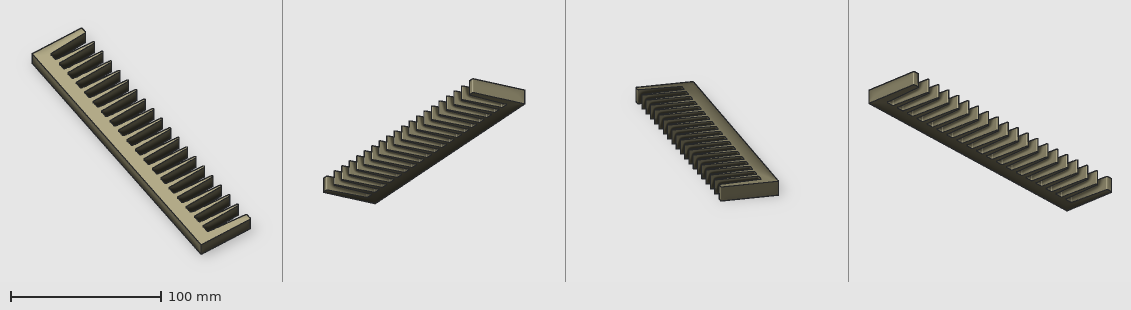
import cadquery as cq

length = 200.0
depth = 40.0
thickness = 10.0
base_depth = 10.0

fin_count = 18
fin_pitch = 10.0
fin_root_width = 4.0
fin_tip_width = 1.45
fin_tip_radius = 0.7

wall_root_width = 7.0
wall_tip_width = 5.0
wall_tip_radius = 0.8

slot_corner_radius = 0.8

back_y = -depth / 2
tip_y = depth / 2
slot_floor_y = back_y + base_depth


def extruded(outline):
    """Prism of the full thickness over a closed outline in the XY plane."""
    return cq.Workplane("XY").polyline(outline).close().extrude(thickness)


def base_bar():
    """Solid bar that carries the fins and end walls."""
    bar = cq.Workplane("XY").box(length, base_depth, thickness, centered=(True, False, False))
    return bar.translate((0, back_y, 0))


def fin(center_x):
    """Fin tapering from the slot floor to a rounded tip."""
    half_root = fin_root_width / 2
    half_tip = fin_tip_width / 2
    outline = [
        (center_x - half_root, slot_floor_y),
        (center_x + half_root, slot_floor_y),
        (center_x + half_tip, tip_y),
        (center_x - half_tip, tip_y),
    ]
    return extruded(outline).edges("|Z and >Y").fillet(fin_tip_radius)


def end_wall(side):
    """End wall on the left (side = -1) or right (side = 1)."""
    outer_x = side * length / 2
    outline = [
        (outer_x, slot_floor_y),
        (outer_x - side * wall_root_width, slot_floor_y),
        (outer_x - side * wall_tip_width, tip_y),
        (outer_x, tip_y),
    ]
    return extruded(outline).edges("|Z and >Y").fillet(wall_tip_radius)


def round_slot_corners(body):
    """Fillet the corners where the fins and walls meet the slot floor."""
    half_span = length / 2 - wall_tip_width
    floor_zone = cq.selectors.BoxSelector(
        (-half_span, slot_floor_y - slot_corner_radius, 0),
        (half_span, slot_floor_y + slot_corner_radius, thickness),
    )
    return body.edges("|Z").edges(floor_zone).fillet(slot_corner_radius)


heat_sink = base_bar()

for wall_side in (-1, 1):
    heat_sink = heat_sink.union(end_wall(wall_side))

first_fin_x = -fin_pitch * (fin_count - 1) / 2
for index in range(fin_count):
    heat_sink = heat_sink.union(fin(first_fin_x + index * fin_pitch))

result = round_slot_corners(heat_sink)